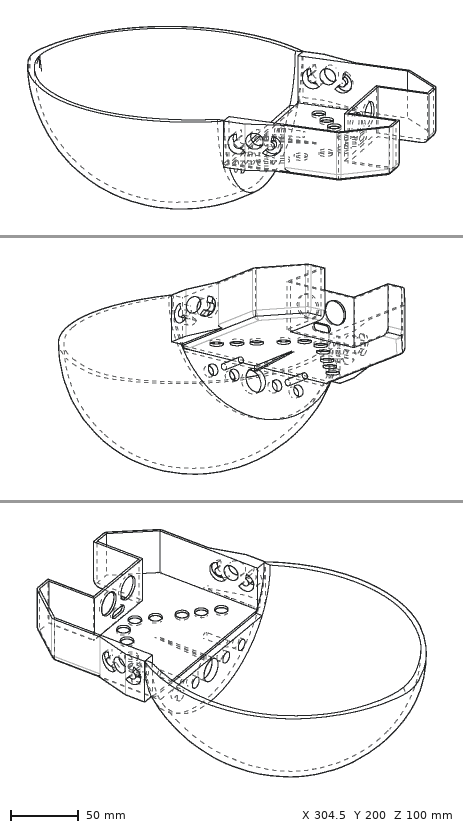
import cadquery as cq
import math

BOWL_RADIUS = 100.0
BOWL_WALL = 5.0
BULKHEAD_WALL = 5.5
BOWL_END_X = 184.2
BOWL_END_RADIUS = 79.5
OUTER_NOSE_X = 0.0
OUTER_PROFILE = [
    (4.3, 20.0),
    (13.5, 40.0),
    (27.0, 59.0),
    (45.5, 76.7),
    (68.2, 90.0),
    (114.2, BOWL_RADIUS),
    (160.2, 91.5),
    (BOWL_END_X, BOWL_END_RADIUS),
]
INNER_NOSE_X = 6.5
CAVITY_END_X = BOWL_END_X - BULKHEAD_WALL
CAVITY_END_RADIUS = 78.0
INNER_PROFILE = [
    (8.8, 16.5),
    (18.0, 38.7),
    (27.0, 53.3),
    (45.5, 71.5),
    (63.5, 83.5),
    (114.2, BOWL_RADIUS - BOWL_WALL),
    (155.5, 88.0),
    (CAVITY_END_X, CAVITY_END_RADIUS),
]

BULKHEAD_HOLE_Z = -50.2
BULKHEAD_CENTER_HOLE = 18.3
BULKHEAD_SMALL_HOLE = 8.8
BULKHEAD_HOLE_PITCH = 20.0

PEG_LENGTH = 20.5
PEG_DIAMETER = 5.0
PEG_Z = -46.0
PEG_PITCH = 3 * BULKHEAD_HOLE_PITCH

TRAY_END_X = 304.5
TRAY_HALF_WIDTH = 71.3
TRAY_DEPTH = 39.3
TRAY_WALL = 2.0
TRAY_FLOOR_FILLET = 6.0
TRAY_CORNER_FILLET = 5.0
TRAY_TAPER_X = 272.5
TRAY_TIP_HALF_WIDTH = 45.0
NOTCH_X = 263.7
NOTCH_HALF_WIDTH = 29.8

PAD_HALF_WIDTH = 79.5
PAD_FLAT_END_X = 201.3
PAD_END_X = 229.5
PAD_HEIGHT = 36.5

PAD_HOLE = 12.5
PAD_HOLE_X = 208.0
PAD_HOLE_Z = -13.5
SLOT_CENTER_X = 207.5
SLOT_OFFSET = 12.0
SLOT_Z = -16.7
SLOT_RADIUS = 5.5
SLOT_WIDTH = 4.5
SLOT_TOP_ANGLE = 100
SLOT_BOTTOM_ANGLE = 315

FLOOR_HOLE = 10.0
ROW_START_X = 206.7
ROW_START_Y = 54.8
ROW_ANGLE = 46.2
ROW_STEPS = [0, 15.2, 29.8, 50.0, 65.5]

NOTCH_HOLE = 19.0
NOTCH_HOLE_PITCH = 25.3
NOTCH_HOLE_Z = -15.5
NOTCH_SLOT_LENGTH = 15.2
NOTCH_SLOT_HEIGHT = 6.0
NOTCH_SLOT_Z = -29.8

GUSSET_END_X = 228.5
GUSSET_DROP = 3.7

SPAN = 609.0


def box(x0, x1, y0, y1, z0, z1):
    """Box between two opposite corners."""
    return cq.Workplane("XY", origin=(x0, y0, z0)).box(x1 - x0, y1 - y0, z1 - z0, centered=False)


def bar_along_x(diameter, start_x, length, y, z):
    return cq.Workplane("YZ", origin=(start_x, y, z)).circle(diameter / 2).extrude(length)


def half_revolved(nose_x, profile):
    """Half body of revolution about X, below Z = 0, with a smooth nose and a flat far end."""
    end_x = profile[-1][0]
    mirrored = [(x, -radius) for x, radius in reversed(profile)]
    outline = cq.Workplane("XY").spline([*mirrored, (nose_x, 0), *profile]).close()
    upper_half = box(0, end_x, 0, SPAN, -3, 3)
    face = outline.extrude(3).intersect(upper_half).faces("<Z")
    return face.wires().toPending().revolve(180, (3, 0, 0), (0, 0, 0), combine=False)


def make_bowl():
    bowl = half_revolved(OUTER_NOSE_X, OUTER_PROFILE).cut(half_revolved(INNER_NOSE_X, INNER_PROFILE))

    opening = bar_along_x(2 * CAVITY_END_RADIUS, CAVITY_END_X, BULKHEAD_WALL, 0, 0)
    bowl = bowl.cut(opening.intersect(box(0, SPAN, -SPAN, SPAN, -TRAY_DEPTH, SPAN)))
    for step in range(-2, 3):
        diameter = BULKHEAD_CENTER_HOLE if step == 0 else BULKHEAD_SMALL_HOLE
        y = step * BULKHEAD_HOLE_PITCH
        bowl = bowl.cut(bar_along_x(diameter, CAVITY_END_X, BULKHEAD_WALL, y, BULKHEAD_HOLE_Z))

    for side in (1, -1):
        y = side * PEG_PITCH / 2
        bowl = bowl.union(bar_along_x(PEG_DIAMETER, CAVITY_END_X, BULKHEAD_WALL + PEG_LENGTH, y, PEG_Z))
    return bowl


def tray_block(inset):
    """Solid tray shape, sharp-edged, with its outer walls and bottom moved inwards by an inset."""
    outline = [
        (0, TRAY_HALF_WIDTH),
        (TRAY_TAPER_X, TRAY_HALF_WIDTH),
        (TRAY_END_X, TRAY_TIP_HALF_WIDTH),
    ]
    outline += [(x, -y) for x, y in reversed(outline)]
    block = cq.Workplane("XY").polyline(outline).close().offset2D(-inset, "intersection")
    block = block.extrude(-TRAY_DEPTH + inset)
    return block.intersect(box(BOWL_END_X, SPAN, -SPAN, SPAN, -SPAN, SPAN))


def notch(inset):
    half_width = NOTCH_HALF_WIDTH + inset
    return box(NOTCH_X - inset, SPAN, -half_width, half_width, -SPAN, SPAN)


def tray_shell():
    """Floor and walls: rounded outside, sharp inside."""
    outside = tray_block(0)
    outside = outside.edges("|Z and (not <X)").fillet(TRAY_CORNER_FILLET)
    outside = outside.faces("<Z").edges("not <X").fillet(TRAY_FLOOR_FILLET)
    inside = tray_block(TRAY_WALL).cut(notch(TRAY_WALL))
    return outside.cut(notch(0)).cut(inside)


def pad(side):
    """Thick pad on a long wall, reaching inwards to the wall's inner face."""
    inner_y = side * (TRAY_HALF_WIDTH - TRAY_WALL)
    slope = (PAD_HALF_WIDTH - TRAY_HALF_WIDTH) / (PAD_END_X - PAD_FLAT_END_X)
    inner_end_x = PAD_END_X + TRAY_WALL / slope
    outline = [
        (BOWL_END_X, inner_y),
        (BOWL_END_X, side * PAD_HALF_WIDTH),
        (PAD_FLAT_END_X, side * PAD_HALF_WIDTH),
        (inner_end_x, inner_y),
    ]
    return cq.Workplane("XY").polyline(outline).close().extrude(-PAD_HEIGHT)


def through_y(sketch):
    return sketch.extrude(SPAN / 2, both=True)


def hooked_slot(side):
    """Slot along an arc that wraps the outer and lower side of its centre."""
    center_x = SLOT_CENTER_X + side * SLOT_OFFSET

    def point(radius, degrees):
        angle = math.radians(degrees)
        return (center_x - side * radius * math.cos(angle), SLOT_Z + radius * math.sin(angle))

    top = SLOT_TOP_ANGLE
    bottom = SLOT_BOTTOM_ANGLE
    middle = (top + bottom) / 2
    outer = SLOT_RADIUS + SLOT_WIDTH / 2
    inner = SLOT_RADIUS - SLOT_WIDTH / 2
    return through_y(
        cq.Workplane("XZ")
        .moveTo(*point(outer, top))
        .threePointArc(point(outer, middle), point(outer, bottom))
        .lineTo(*point(inner, bottom))
        .threePointArc(point(inner, middle), point(inner, top))
        .close()
    )


def pad_openings():
    hole = through_y(cq.Workplane("XZ").center(PAD_HOLE_X, PAD_HOLE_Z).circle(PAD_HOLE / 2))
    return hole.union(hooked_slot(1)).union(hooked_slot(-1))


def floor_holes():
    angle = math.radians(ROW_ANGLE)
    points = []
    for step in ROW_STEPS:
        x = ROW_START_X + step * math.cos(angle)
        y = ROW_START_Y - step * math.sin(angle)
        points += [(x, y), (x, -y)]
    return cq.Workplane("XY").pushPoints(points).circle(FLOOR_HOLE / 2).extrude(-SPAN)


def notch_wall_openings():
    wall = cq.Workplane("YZ", origin=(NOTCH_X - TRAY_WALL, 0, 0))
    holes = (
        wall.pushPoints([(side * NOTCH_HOLE_PITCH / 2, NOTCH_HOLE_Z) for side in (1, -1)])
        .circle(NOTCH_HOLE / 2)
        .extrude(TRAY_WALL)
    )
    slot = wall.center(0, NOTCH_SLOT_Z).slot2D(NOTCH_SLOT_LENGTH, NOTCH_SLOT_HEIGHT).extrude(TRAY_WALL)
    return holes.union(slot)


def gusset():
    """Triangular web under the floor, deepest at the bulkhead."""
    outline = [
        (BOWL_END_X, TRAY_WALL - TRAY_DEPTH),
        (GUSSET_END_X, TRAY_WALL - TRAY_DEPTH),
        (GUSSET_END_X, -TRAY_DEPTH),
        (BOWL_END_X, -TRAY_DEPTH - GUSSET_DROP),
    ]
    return cq.Workplane("XZ").polyline(outline).close().extrude(TRAY_WALL / 2, both=True)


def make_tray():
    tray = tray_shell().union(gusset())
    for side in (1, -1):
        tray = tray.union(pad(side))
    return tray.cut(pad_openings()).cut(floor_holes()).cut(notch_wall_openings())


bowl = make_bowl()
tray = make_tray()
result = cq.Compound.makeCompound([bowl.val(), tray.val()])